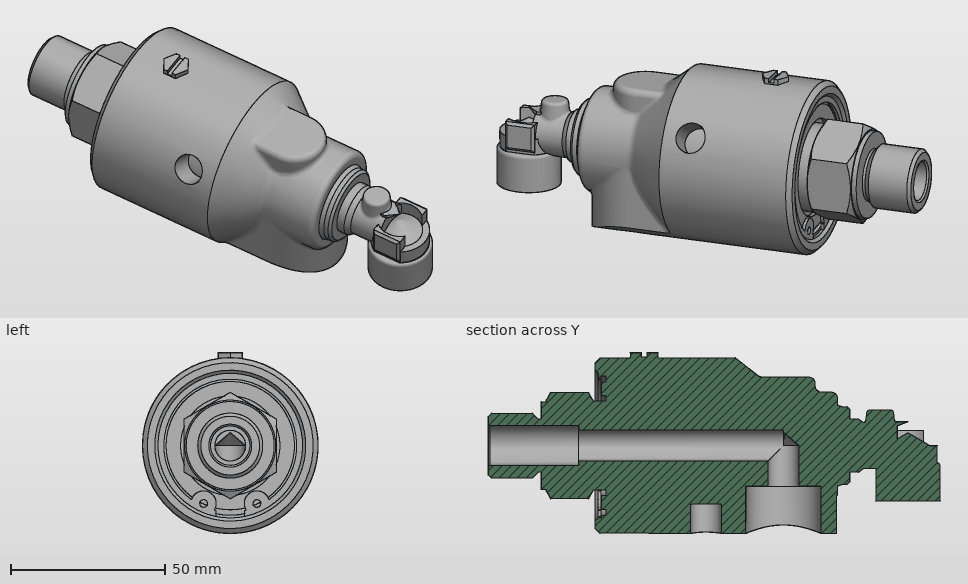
import cadquery as cq
import math

stud_radius = 10.5
stud_end = 14.4
stud_tip_chamfer = 1.0
relief_radius = 8.72
flange_start = 17.2
flange_end = 18.8
flange_radius = 14.3
hex_end = 34.0
hex_across_flats = 29.9
hex_cone_depth = 1.5
hex_cone_rise = 2.5
rotor_collar_radius = 14.5

body_start = 34.6
body_radius = 28.52
body_chamfer = 1.6
cone_start = 80.2
cone_end = 94.1
neck_radius = 17.5
neck_end = 113.3
cone_neck_fillet = 3.8
neck_end_fillet = 2.0

recess_radius = 23.5
recess_chamfer = 1.0
recess_floor = 36.7
shaft_gap_radius = 16.1
shaft_gap_depth = 1.5
ring_groove_inner_radius = 20.8
ring_groove_outer_radius = 22.6
ring_groove_depth = 1.5
ring_inner_radius = 21.5
ring_thickness = 1.0
ring_ear_radius = 4.1
ring_hole_diameter = 2.5
ring_hole_y = 8.7
ring_hole_z = -18.8
ring_gap_half_width = 4.7

vent_floor_radius = 19.0
vent_x = 70.7
vent_diameter = 10.0
vent_angles = (30, 150, 270)

bore_mouth_diameter = 14.0
bore_mouth_chamfer = 0.6
bore_step_diameter = 12.8
bore_step_depth = 29.3
bore_diameter = 10.0
port_x = 95.7
port_diameter = 24.3
port_floor_z = -13.2
port_tip_height = 4.3

port_pad_radius = 17.3
port_pad_fillet = 2.3
top_pad_radius = 10.4
top_pad_z = 22.3
top_pad_edge_fillet = 2.2
top_pad_base_fillet = 1.8

screw_x = 50.6
screw_across_flats = 7.9
screw_top_z = 30.13
screw_seat_z = 26.4
slot_width = 1.8
slot_depth = 1.3

collar_end = 117.3
collar_radius = 12.68
collar_root_length = 1.5
collar_root_rise = 0.6
collar_chamfer = 0.9
spigot_end = 120.1
spigot_radius = 8.72
pipe_start = 121.8
pipe_radius = 7.5
pipe_end = 132.7
cap_x = 136.15
cap_radius = 10.48
cap_bottom_z = -18.0
cap_top_z = -5.4
cap_edge_fillet = 1.2
swivel_radius = 9.5
swivel_top_z = 0.0
dome_radius = 7.26
dome_height = 4.3
cheek_length = 10.1
cheek_half_width = 9.1
cheek_top_z = 5.0
cheek_bottom_z = -4.5
cheek_edge_chamfer = 0.9
button_x = 127.1
button_diameter = 8.7
button_root_diameter = 10.3
button_root_z = 4.4
button_top_z = 11.65
button_edge_fillet = 1.2
button_base_fillet = 1.2
fin_tip_x = cap_x
fin_root_x = 132.3
fin_half_width = 3.2
fin_top_z = 7.8
fin_root_z = 6.2


contact_tolerance = 0.001


def cylinder_x(radius, x_start, x_end):
    """Cylinder about the main axis."""
    return cq.Workplane("YZ").workplane(offset=x_start).circle(radius).extrude(x_end - x_start)


def cylinder_z(x, radius, z_start, z_end):
    """Vertical cylinder centred on the XZ plane."""
    return cq.Workplane("XY").workplane(offset=z_start).center(x, 0).circle(radius).extrude(z_end - z_start)


def revolve_x(points):
    """Solid of revolution about the main axis from (x, radius) points."""
    return cq.Workplane("XY").polyline(points).close().revolve(360, (0, 0, 0), (1, 0, 0))


def d_pad(radius, x_back, z_start, z_end):
    """Vertical pad, round towards +X about the port axis and straight-sided back to x_back."""
    return (
        cq.Workplane("XY").workplane(offset=z_start)
        .moveTo(x_back, -radius)
        .lineTo(port_x, -radius)
        .threePointArc((port_x + radius, 0), (port_x, radius))
        .lineTo(x_back, radius)
        .close()
        .extrude(z_end - z_start)
    )


def make_housing_shell():
    """Solid barrel, cone and neck; the cone runs into the neck through a tangent arc."""
    cone_angle = math.atan2(body_radius - neck_radius, cone_end - cone_start)
    tangent_length = cone_neck_fillet * math.tan(cone_angle / 2)
    arc_start = (
        cone_end - tangent_length * math.cos(cone_angle),
        neck_radius + tangent_length * math.sin(cone_angle),
    )
    outline = (
        cq.Workplane("XY")
        .moveTo(body_start, 0)
        .lineTo(body_start, body_radius - body_chamfer)
        .lineTo(body_start + body_chamfer, body_radius)
        .lineTo(cone_start, body_radius)
        .lineTo(*arc_start)
        .tangentArcPoint((cone_end + tangent_length, neck_radius), relative=False)
        .lineTo(neck_end - neck_end_fillet, neck_radius)
        .tangentArcPoint((neck_end, neck_radius - neck_end_fillet), relative=False)
        .lineTo(neck_end, 0)
        .close()
    )
    return outline.revolve(360, (0, 0, 0), (1, 0, 0))


def blend_join(base, addition, fillet):
    """Union of two solids with the edges where their surfaces meet filleted."""
    joined = base.union(addition)
    skins = [solid.val().Shells()[0] for solid in (base, addition)]

    def lies_on_both(edge):
        samples = [cq.Vertex.makeVertex(*edge.positionAt(t).toTuple()) for t in (0.3, 0.7)]
        return all(skin.distance(point) < contact_tolerance for skin in skins for point in samples)

    meeting_edges = [edge for edge in joined.edges().vals() if lies_on_both(edge)]
    return joined.newObject(meeting_edges).fillet(fillet)


def make_top_pad():
    """Raised pad with a flat top and a rounded upper edge."""
    pad = d_pad(top_pad_radius, cone_start, 0, top_pad_z)
    return pad.faces(">Z").edges("not <X").fillet(top_pad_edge_fillet)


def make_port_pad():
    """Pad around the side port, trimmed to the barrel radius."""
    pad = d_pad(port_pad_radius, cone_start, -body_radius, 0)
    return pad.intersect(cylinder_x(body_radius, cone_start, neck_end))


def make_stud():
    """Threaded stud with relief groove and flange, hexagon and rear collar."""
    relief_chamfer = stud_radius - relief_radius
    stud = revolve_x([
        (0, 0),
        (0, stud_radius - stud_tip_chamfer),
        (stud_tip_chamfer, stud_radius),
        (stud_end, stud_radius),
        (stud_end + relief_chamfer, relief_radius),
        (flange_start, relief_radius),
        (flange_start, flange_radius),
        (flange_end, flange_radius),
        (flange_end, 0),
    ])
    hex_corner_diameter = hex_across_flats / math.cos(math.pi / 6)
    hexagon = (
        cq.Workplane("YZ").workplane(offset=flange_end)
        .transformed(rotate=(0, 0, 90))
        .polygon(6, hex_corner_diameter)
        .extrude(hex_end - flange_end)
    )
    corner_radius = hex_corner_diameter / 2
    corner_cones = revolve_x([
        (flange_end, 0),
        (flange_end, corner_radius - hex_cone_rise),
        (flange_end + hex_cone_depth, corner_radius),
        (hex_end - hex_cone_depth, corner_radius),
        (hex_end, corner_radius - hex_cone_rise),
        (hex_end, 0),
    ])
    collar = cylinder_x(rotor_collar_radius, hex_end, recess_floor)
    return stud.union(hexagon.intersect(corner_cones)).union(collar)


def make_recess():
    """Cavity in the front of the barrel, chamfered at its mouth."""
    return revolve_x([
        (body_start, 0),
        (body_start, recess_radius + recess_chamfer),
        (body_start + recess_chamfer, recess_radius),
        (recess_floor, recess_radius),
        (recess_floor, 0),
    ])


def make_floor_groove(inner_radius, outer_radius, depth):
    """Annular groove sunk into the floor of the front recess."""
    groove_end = recess_floor + depth
    outer = cylinder_x(outer_radius, recess_floor, groove_end)
    return outer.cut(cylinder_x(inner_radius, recess_floor, groove_end))


def make_retaining_ring():
    """Internal retaining ring with two drilled ears, open at the bottom between them."""
    ring_start = recess_floor - ring_thickness
    ears_at = [(-ring_hole_y, ring_hole_z), (ring_hole_y, ring_hole_z)]
    plane = cq.Workplane("YZ").workplane(offset=ring_start)
    ring = plane.circle(recess_radius).circle(ring_inner_radius).extrude(ring_thickness)
    ears = plane.pushPoints(ears_at).circle(ring_ear_radius).extrude(ring_thickness)
    gap = plane.center(0, -recess_radius).rect(2 * ring_gap_half_width, recess_radius).extrude(ring_thickness)
    holes = plane.pushPoints(ears_at).circle(ring_hole_diameter / 2).extrude(ring_thickness)
    envelope = cylinder_x(recess_radius, ring_start, recess_floor)
    return ring.cut(gap).union(ears.intersect(envelope)).cut(holes)


def make_vents():
    """Blind radial holes ending on a cylindrical floor concentric with the barrel."""
    vent = cq.Workplane("XZ").center(vent_x, 0).circle(vent_diameter / 2).extrude(-body_radius)
    vent = vent.cut(cylinder_x(vent_floor_radius, vent_x - vent_diameter, vent_x + vent_diameter))
    vents = cq.Workplane("XY")
    for angle in vent_angles:
        vents = vents.union(vent.rotate((0, 0, 0), (1, 0, 0), angle))
    return vents


def make_media_passages():
    """Stepped axial bore ending at the side port, and the port drilled up from below."""
    bore = revolve_x([
        (0, 0),
        (0, bore_mouth_diameter / 2),
        (bore_mouth_chamfer, bore_step_diameter / 2),
        (bore_step_depth, bore_step_diameter / 2),
        (bore_step_depth, bore_diameter / 2),
        (port_x, bore_diameter / 2),
        (port_x, 0),
    ])
    port = cylinder_z(port_x, port_diameter / 2, -body_radius, port_floor_z)
    drilling = (
        cq.Workplane("XZ")
        .polyline([
            (port_x, port_floor_z),
            (port_x + bore_diameter / 2, port_floor_z),
            (port_x + bore_diameter / 2, 0),
            (port_x, port_tip_height),
        ])
        .close()
        .revolve(360, (port_x, 0, 0), (port_x, 1, 0))
    )
    return bore.union(port).union(drilling)


def make_screw_head():
    """Hexagonal plug on top of the barrel with a cross slot."""
    head = (
        cq.Workplane("XY").workplane(offset=screw_seat_z)
        .center(screw_x, 0)
        .polygon(6, screw_across_flats / math.cos(math.pi / 6))
        .extrude(screw_top_z - screw_seat_z)
    )
    slot = cq.Workplane("XY").box(slot_width, 2 * screw_across_flats, 2 * slot_depth)
    return head.cut(slot.translate((screw_x, 0, screw_top_z)))


def make_elbow_pipe():
    """Stepped collar, spigot and horizontal pipe with the button blended onto it."""
    pipe = revolve_x([
        (neck_end, 0),
        (neck_end, collar_radius + collar_root_rise),
        (neck_end + collar_root_length, collar_radius),
        (collar_end - collar_chamfer, collar_radius),
        (collar_end, collar_radius - collar_chamfer),
        (collar_end, spigot_radius),
        (spigot_end, spigot_radius),
        (pipe_start, pipe_radius),
        (pipe_end, pipe_radius),
        (pipe_end, 0),
    ])
    button = cq.Workplane("XY").add(cq.Solid.makeCone(
        button_root_diameter / 2, button_diameter / 2, button_top_z - button_root_z,
        cq.Vector(button_x, 0, button_root_z),
    ))
    button = button.faces(">Z").edges().fillet(button_edge_fillet)
    return blend_join(pipe, button, button_base_fillet)


def make_elbow_head():
    """Cap, swivel ring, conical dome and the two flat cheeks beside it."""
    cap = cylinder_z(cap_x, cap_radius, cap_bottom_z, cap_top_z).faces(">Z").edges().fillet(cap_edge_fillet)
    swivel = cylinder_z(cap_x, swivel_radius, cap_top_z, swivel_top_z)
    dome = cq.Workplane("XY").add(
        cq.Solid.makeCone(dome_radius, 0, dome_height, cq.Vector(cap_x, 0, swivel_top_z))
    )
    cheeks = (
        cq.Workplane("XY")
        .box(cheek_length, 2 * cheek_half_width, cheek_top_z - cheek_bottom_z)
        .translate((cap_x, 0, (cheek_top_z + cheek_bottom_z) / 2))
        .faces("<Y or >Y").edges().chamfer(cheek_edge_chamfer)
        .cut(cylinder_z(cap_x, dome_radius, swivel_top_z, cheek_top_z))
    )
    flat_half_width = cheek_half_width - cheek_edge_chamfer
    between_flats = cq.Workplane("XY").box(4 * cap_radius, 2 * flat_half_width, 4 * cap_radius)
    swivel = swivel.intersect(between_flats.translate((cap_x, 0, 0)))
    return cap.union(swivel).union(cheeks).union(dome)


def make_fin():
    """Thin tapered tip pointing from the pipe over the dome."""
    side = (
        cq.Workplane("XZ")
        .polyline([(button_x, fin_top_z), (fin_tip_x, fin_top_z), (fin_root_x, fin_root_z), (button_x, fin_root_z)])
        .close()
        .extrude(fin_half_width, both=True)
    )
    plan = (
        cq.Workplane("XY")
        .polyline([(button_x, -fin_half_width), (fin_root_x, -fin_half_width), (fin_tip_x, 0),
                   (fin_root_x, fin_half_width), (button_x, fin_half_width)])
        .close()
        .extrude(button_top_z)
    )
    return side.intersect(plan)


housing = blend_join(make_housing_shell(), make_top_pad(), top_pad_base_fillet)
housing = blend_join(housing, make_port_pad(), port_pad_fillet)
housing = housing.cut(make_recess())
housing = housing.cut(make_floor_groove(rotor_collar_radius, shaft_gap_radius, shaft_gap_depth))
housing = housing.cut(make_floor_groove(ring_groove_inner_radius, ring_groove_outer_radius, ring_groove_depth))

result = (
    housing
    .union(make_stud())
    .union(make_retaining_ring())
    .union(make_screw_head())
    .union(make_elbow_pipe())
    .union(make_elbow_head())
    .union(make_fin())
    .cut(make_vents())
    .cut(make_media_passages())
)